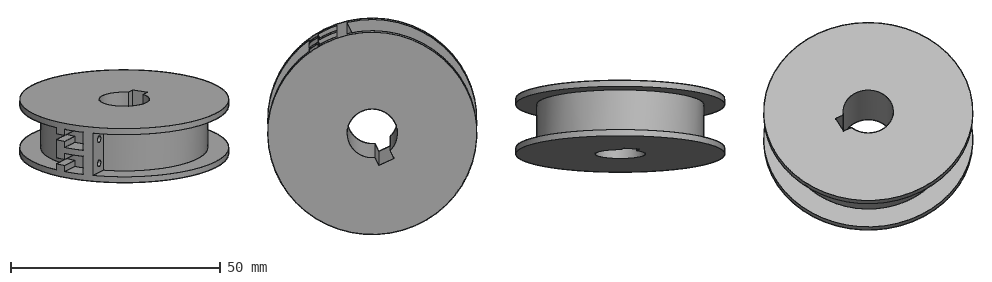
import cadquery as cq

flange_radius = 25.0
hub_radius = 20.0
flange_thickness = 1.5
web_thickness = 1.5
pocket_height = 4.5
channel_height = 2 * pocket_height + web_thickness
total_height = channel_height + 2 * flange_thickness

bore_radius = 6.0
keyway_width = 4.0
keyway_top = 7.8

block_width = 10.0
pocket_width = 5.0
slot_height = 1.5
hole_diameter = 1.6
hole_y = -21.4

pocket_pitch = pocket_height + web_thickness
pocket_centers = [total_height / 2 + side * pocket_pitch / 2 for side in (-1, 1)]


def flange(bottom):
    return cq.Workplane("XY").workplane(offset=bottom).circle(flange_radius).extrude(flange_thickness)


def channel_sector(x_min, x_max, z_center, height):
    """Part of the ring between hub and flange rim, on the -Y side, from x_min to x_max."""
    ring = (
        cq.Workplane("XY")
        .workplane(offset=z_center - height / 2)
        .circle(flange_radius)
        .circle(hub_radius)
        .extrude(height)
    )
    slab = cq.Workplane("XY").box(
        x_max - x_min, flange_radius, total_height, centered=False
    ).translate((x_min, -flange_radius, 0))
    return ring.intersect(slab)


def cord_hole(z_center):
    """Hole through the +X wall of a pocket."""
    wall = (block_width - pocket_width) / 2
    return (
        cq.Workplane("YZ")
        .workplane(offset=pocket_width / 2)
        .center(hole_y, z_center)
        .circle(hole_diameter / 2)
        .extrude(wall)
    )


spool = cq.Workplane("XY").circle(hub_radius).extrude(total_height)
spool = spool.union(flange(0)).union(flange(total_height - flange_thickness))
spool = spool.union(
    channel_sector(-block_width / 2, block_width / 2, total_height / 2, channel_height)
)

for z_center in pocket_centers:
    spool = spool.cut(channel_sector(-pocket_width / 2, pocket_width / 2, z_center, pocket_height))
    spool = spool.cut(channel_sector(-block_width / 2, -pocket_width / 2, z_center, slot_height))
    spool = spool.cut(cord_hole(z_center))

bore = cq.Workplane("XY").circle(bore_radius).extrude(total_height)
keyway = cq.Workplane("XY").box(
    keyway_width, keyway_top, total_height, centered=(True, False, False)
)
result = spool.cut(bore).cut(keyway)